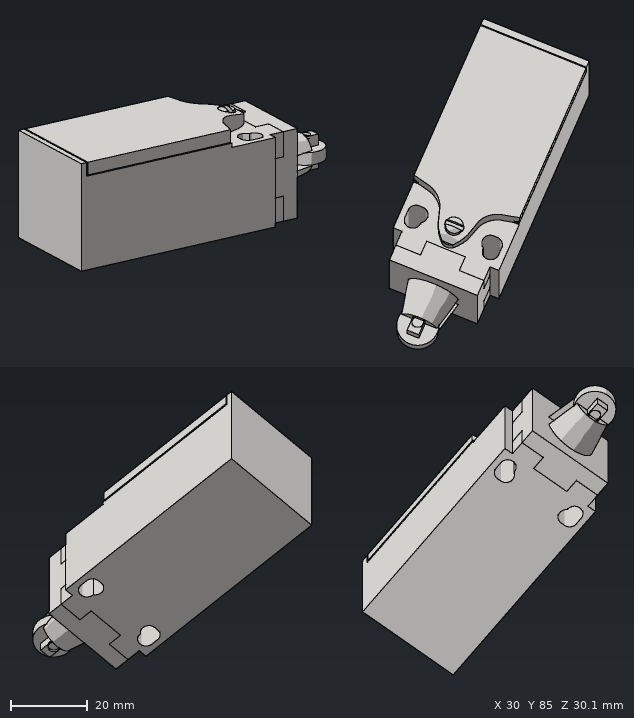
import cadquery as cq


body_width = 30.0
body_height = 30.0
deck_height = 25.0
ledge_height = 26.2
ledge_front = 46.9
shoulder_y = 60.5
post_length = 4.1

cover_front = 46.6
end_wall = 1.9
seam_width = 0.2
seam_depth = 0.25
tongue_tip = 60.0
tongue_tip_height = 2.7
tongue_tip_flat = 0.4
slope_end = 47.8
screw_y = 54.9
screw_radius = 2.55
screw_rim_radius = 2.3
screw_taper_height = 3.6
screw_rim_height = 4.5
screw_top_height = 5.1
screw_slot_width = 1.3
screw_slot_floor = 3.65

hole_radius = 2.2
hole_outer_x = 11.05
hole_inner_x = 10.0
hole_rear_y = 54.6
hole_front_y = 56.6

head_size = deck_height
head_front = 69.0
tab_width = 11.0
cone_front = 78.45
cone_base_radius = 7.4
cone_tip_radius = 5.4
fork_gap = 4.25
roller_radius = 5.5
roller_width = 3.5
lug_width = 3.3
lug_length = 6.4
lug_span = 9.6
axle_hole_radius = 1.5
axle_hole_depth = 0.8

overall_length = 85.0
roller_y = overall_length - roller_radius
head_axis_z = head_size / 2
post_front = shoulder_y + post_length
post_size = (head_size - tab_width) / 2


def block(x_range, y_range, z_range):
    """Box given by its limits along the three axes."""
    (x0, x1), (y0, y1), (z0, z1) = x_range, y_range, z_range
    return cq.Workplane("XY").box(x1 - x0, y1 - y0, z1 - z0, centered=False).translate((x0, y0, z0))


def centred_block(width, y_range, z_range):
    """Box of the given width, symmetric about X = 0."""
    return block((-width / 2, width / 2), y_range, z_range)


def corner_posts():
    """Four square posts, one at each corner of the head outline."""
    posts = cq.Workplane("XY")
    for x in (-head_size / 2, head_size / 2 - post_size):
        for z in (0, head_size - post_size):
            posts = posts.add(block((x, x + post_size), (shoulder_y, post_front), (z, z + post_size)))
    return posts.combine()


def tongue():
    """Bell-shaped front of the cover, its top curving down towards the tip."""
    side = body_width / 2
    tip_corner = (1.5, tongue_tip - tongue_tip_flat)
    nose_middle = (2.9, 58.05)
    flank_start = (4.2, 56.0)
    flank_end = (5.6, 51.3)
    skirt_middle = (7.4, 49.1)
    skirt_end = (10.1, 47.7)

    def mirrored(point):
        return (-point[0], point[1])

    plan = (
        cq.Workplane("XY", origin=(0, 0, deck_height))
        .moveTo(side, cover_front)
        .lineTo(*skirt_end)
        .threePointArc(skirt_middle, flank_end)
        .lineTo(*flank_start)
        .threePointArc(nose_middle, tip_corner)
        .threePointArc((0, tongue_tip), mirrored(tip_corner))
        .threePointArc(mirrored(nose_middle), mirrored(flank_start))
        .lineTo(*mirrored(flank_end))
        .threePointArc(mirrored(skirt_middle), mirrored(skirt_end))
        .lineTo(-side, cover_front)
        .close()
        .extrude(body_height - deck_height)
    )

    slope_front = tongue_tip - tongue_tip_flat
    tip_z = deck_height + tongue_tip_height
    profile = (
        cq.Workplane("YZ", origin=(-side, 0, 0))
        .moveTo(cover_front, deck_height)
        .lineTo(cover_front, body_height)
        .lineTo(slope_end, body_height)
        .tangentArcPoint((slope_front, tip_z), relative=False)
        .lineTo(tongue_tip, tip_z)
        .lineTo(tongue_tip, deck_height)
        .close()
        .extrude(body_width)
    )
    return plan.intersect(profile)


def screw():
    """Cover screw: a round head with a tapered side and a domed top."""
    dome_rise = screw_top_height - screw_rim_height
    dome_radius = (screw_rim_radius**2 + dome_rise**2) / (2 * dome_rise)
    side_profile = (
        cq.Workplane("XY")
        .lineTo(screw_radius, 0)
        .lineTo(screw_radius, screw_taper_height)
        .lineTo(screw_rim_radius, screw_rim_height)
        .lineTo(screw_rim_radius, screw_top_height)
        .lineTo(0, screw_top_height)
        .close()
    )
    blank = side_profile.revolve(360, (0, 0), (0, 1)).rotate((0, 0, 0), (1, 0, 0), 90)
    dome = cq.Workplane("XY").sphere(dome_radius).translate((0, 0, screw_top_height - dome_radius))
    return blank.intersect(dome).translate((0, screw_y, deck_height))


def screw_slot():
    """Screwdriver slot along X, as long as the screw head is wide."""
    slot = centred_block(
        2 * screw_radius,
        (screw_y - screw_slot_width / 2, screw_y + screw_slot_width / 2),
        (deck_height + screw_slot_floor, deck_height + screw_top_height),
    )
    return slot.intersect(
        cq.Workplane("XY", origin=(0, screw_y, deck_height)).circle(screw_radius).extrude(screw_top_height)
    )


def cover_seam():
    """Shallow groove round the cover: along both sides, then up and over at the end wall."""
    seam_y = (end_wall, end_wall + seam_width)
    seam_top = ledge_height + seam_width
    seam = centred_block(body_width, seam_y, (body_height - seam_depth, body_height))
    for x in (-body_width / 2, body_width / 2 - seam_depth):
        x_range = (x, x + seam_depth)
        seam = seam.union(block(x_range, (end_wall, ledge_front), (ledge_height, seam_top)))
        seam = seam.union(block(x_range, seam_y, (ledge_height, body_height)))
    return seam


def mounting_holes():
    """Through holes on both sides: a slot along Y joined by a slot along X at its rear end."""
    slot_width = 2 * hole_radius
    y_length = hole_front_y - hole_rear_y + slot_width
    x_length = hole_outer_x - hole_inner_x + slot_width
    holes = cq.Workplane("XY")
    for side in (-1, 1):
        along_y = (
            cq.Workplane("XY")
            .center(side * hole_outer_x, (hole_front_y + hole_rear_y) / 2)
            .slot2D(y_length, slot_width, 90)
            .extrude(deck_height)
        )
        along_x = (
            cq.Workplane("XY")
            .center(side * (hole_outer_x + hole_inner_x) / 2, hole_rear_y)
            .slot2D(x_length, slot_width)
            .extrude(deck_height)
        )
        holes = holes.add(along_y.union(along_x))
    return holes.combine()


def make_body():
    """Switch body with cover, tongue, screw, corner posts and mounting holes."""
    body = centred_block(body_width, (0, shoulder_y), (0, deck_height))
    body = body.union(centred_block(body_width, (0, ledge_front), (deck_height, ledge_height)))
    body = body.union(centred_block(body_width, (0, cover_front), (ledge_height, body_height)))
    body = body.union(corner_posts())
    body = body.union(tongue()).union(screw())
    return body.cut(screw_slot()).cut(cover_seam()).cut(mounting_holes())


def fork():
    """Cone along Y, split by a gap for the roller."""
    cone = (
        cq.Workplane("XY")
        .moveTo(0, head_front)
        .lineTo(cone_base_radius, head_front)
        .lineTo(cone_tip_radius, cone_front)
        .lineTo(0, cone_front)
        .close()
        .revolve(360, (0, 0), (0, 1))
        .translate((0, 0, head_axis_z))
    )
    gap_z = (head_axis_z - fork_gap / 2, head_axis_z + fork_gap / 2)
    return cone.cut(centred_block(2 * cone_base_radius, (head_front, cone_front), gap_z))


def roller_and_lugs():
    """Roller with a lug on each face; each lug has a blind round recess on the roller axis."""
    bottom = head_axis_z - lug_span / 2
    top = head_axis_z + lug_span / 2
    lugs = centred_block(lug_width, (roller_y - lug_length / 2, roller_y + lug_length / 2), (bottom, top))
    for floor in (bottom, top - axle_hole_depth):
        recess = cq.Workplane("XY", origin=(0, roller_y, floor)).circle(axle_hole_radius)
        lugs = lugs.cut(recess.extrude(axle_hole_depth))
    roller = (
        cq.Workplane("XY", origin=(0, roller_y, head_axis_z - roller_width / 2))
        .circle(roller_radius)
        .extrude(roller_width)
    )
    return lugs.union(roller)


def make_head():
    """Square head with a tab on each side between the corner posts, carrying the fork and roller."""
    head = centred_block(head_size, (shoulder_y, head_front), (0, head_size)).cut(corner_posts())
    return head.union(roller_and_lugs()).union(fork())


switch_body = make_body()
roller_head = make_head()

result = cq.Compound.makeCompound([switch_body.val(), roller_head.val()])